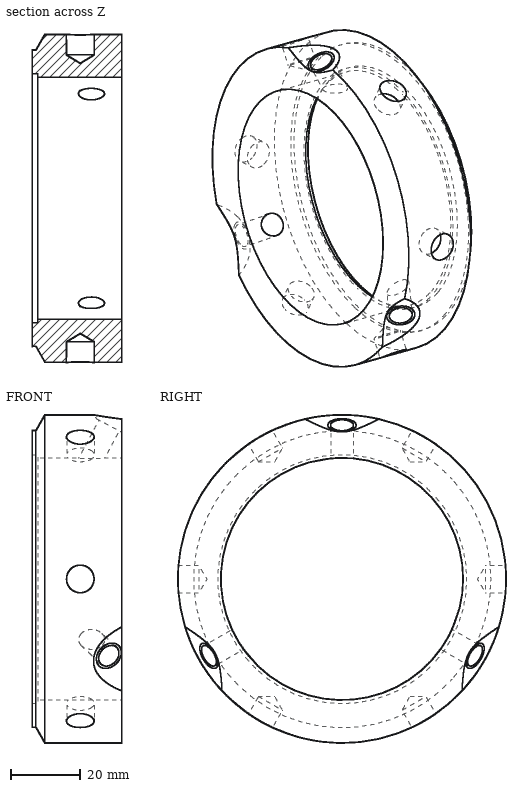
import cadquery as cq
import math

outer_radius = 47.5
bore_radius = 70.0 / 2
bore_mouth_radius = 72.0 / 2
bore_mouth_depth = 1.6
face_radius = 86.0 / 2
width = 26.0
land_width = 1.1
shoulder_x = 3.7

spanner_count = 6
spanner_radius = 8.0 / 2
spanner_depth = 6.0
spanner_x = 14.0
drill_half_angle = 59.0
cutter_overrun = 0.95

screw_count = 3
screw_radius = 6.65 / 2
screw_seat_radius = 8.2 / 2
screw_tilt = 28.0
screw_seat_x = 22.2
screw_seat_height = 44.5
pocket_half_angle = 64.0
pocket_length = 11.4
screw_length = 19.0


def cone_rise(radius, half_angle):
    """Axial distance over which a cone widens by the given radius."""
    return radius / math.tan(math.radians(half_angle))


def ring_body():
    profile = (
        cq.Workplane("XY")
        .moveTo(0, bore_mouth_radius)
        .lineTo(0, face_radius)
        .lineTo(land_width, face_radius)
        .lineTo(shoulder_x, outer_radius)
        .lineTo(width, outer_radius)
        .lineTo(width, bore_radius)
        .lineTo(bore_mouth_depth, bore_radius)
        .lineTo(bore_mouth_depth, bore_mouth_radius)
        .close()
    )
    return profile.revolve(360, (0, 0, 0), (1, 0, 0))


def spanner_cutter():
    """Drill shape pointing down at the top of the rim, with a conical tip."""
    floor = outer_radius - spanner_depth
    tip = floor - cone_rise(spanner_radius, drill_half_angle)
    clear_height = outer_radius + cutter_overrun
    profile = (
        cq.Workplane("XZ")
        .moveTo(0, tip)
        .lineTo(spanner_radius, floor)
        .lineTo(spanner_radius, clear_height)
        .lineTo(0, clear_height)
        .close()
    )
    return profile.revolve(360, (0, 0, 0), (0, 1, 0)).translate((spanner_x, 0, 0))


def screw_cutter():
    """Through hole, flat annular seat and wide cone, leaning toward +X at the top."""
    pocket_radius = screw_seat_radius + pocket_length * math.tan(math.radians(pocket_half_angle))
    profile = (
        cq.Workplane("XZ")
        .moveTo(0, -screw_length)
        .lineTo(screw_radius, -screw_length)
        .lineTo(screw_radius, 0)
        .lineTo(screw_seat_radius, 0)
        .lineTo(pocket_radius, pocket_length)
        .lineTo(0, pocket_length)
        .close()
    )
    cutter = profile.revolve(360, (0, 0, 0), (0, 1, 0))
    cutter = cutter.rotate((0, 0, 0), (0, 1, 0), screw_tilt)
    return cutter.translate((screw_seat_x, 0, screw_seat_height))


def cut_around(body, cutter, count, start_angle):
    """Cut equally spaced copies of a cutter about the ring axis."""
    for index in range(count):
        angle = start_angle + index * 360 / count
        body = body.cut(cutter.rotate((0, 0, 0), (1, 0, 0), angle))
    return body


result = ring_body()
result = cut_around(result, spanner_cutter(), spanner_count, 180 / spanner_count)
result = cut_around(result, screw_cutter(), screw_count, 0)